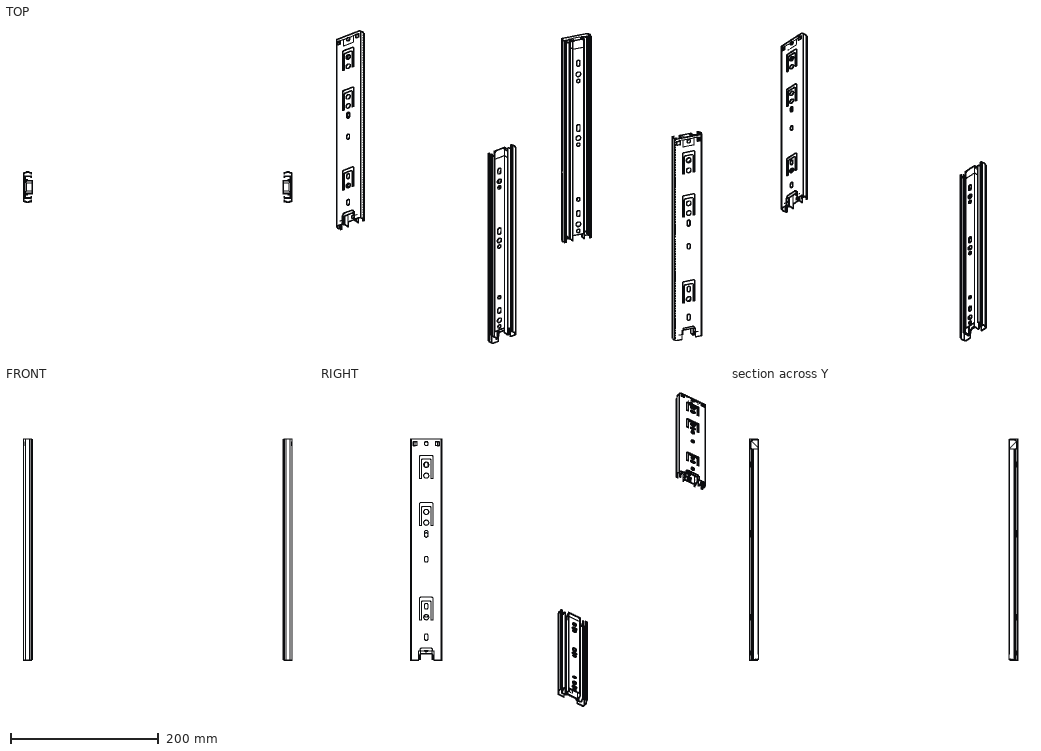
import cadquery as cq


PAIR_WIDTH = 364.0
RAIL_LENGTH = 300.0
OUTER_X = -PAIR_WIDTH / 2
SHEET = 1.0

OUTER_DEPTH = 11.0
OUTER_HALF = 20.0
RACE_HALF = 21.0
RACE_START = 3.0
RACE_END = 8.5
OUTER_LIP_END = 17.5
OUTER_BEND = 2.0

WEB_GAP = 0.55
MIDDLE_X = OUTER_X + SHEET + WEB_GAP
MIDDLE_DEPTH = OUTER_DEPTH - SHEET - WEB_GAP
MIDDLE_HALF = 15.3
MIDDLE_LIP_END = 13.0
MIDDLE_BEND = 1.5
MIDDLE_BOTTOM = 7.0
MIDDLE_TOP = 296.5

SLIDE_DEPTH = 12.5
INNER_X = OUTER_X + SLIDE_DEPTH
INNER_DEPTH = 8.0
INNER_HALF = 9.0
INNER_LIP_HALF = 10.5
INNER_CHANNEL_HALF = INNER_HALF - SHEET
INNER_BOTTOM = 1.0
INNER_TOP = RAIL_LENGTH - INNER_BOTTOM

OUTER_NOTCH_HALF = 10.2
OUTER_NOTCH_TOP = 12.7
OUTER_RELIEF_HALF = 8.7
OUTER_RELIEF_TOP = 16.5
RELIEF_CORNER = 2.5
MIDDLE_NOTCH_HALF = INNER_CHANNEL_HALF
MIDDLE_NOTCH_TOP = OUTER_NOTCH_TOP
INNER_NOTCH_TOP = 8.7

STOP_HEIGHT = 12.7
STOP_BACK = MIDDLE_X
STOP_BOTTOM = INNER_TOP - STOP_HEIGHT
STOP_CHAMFER = 2.5

SCREW_HOLE = 7.0
PILOT_HOLE = 5.0
SLOT_WIDTH = 4.5
WINDOW_Z = 293.5
WINDOW_HEIGHT = 5.0
WINDOW_INNER = 12.7
WINDOW_OUTER = 18.0
TONGUE_TOPS = (277.7, 213.5, 85.5)
TONGUE_SLOT_LENGTH = 31.3
TONGUE_SLOT_HALF = 9.0
TONGUE_HALF = 6.5
TONGUE_GAP = 5.0
TONGUE_CORNER = 2.0
OUTER_SCREW_Z = (265.0, 250.0, 201.0, 186.5, 58.2)
OUTER_SLOTS = ((171.5, 9.0), (137.0, 8.0), (73.0, 8.0), (31.3, 9.0))

MIDDLE_SCREW_Z = (OUTER_SCREW_Z[0], OUTER_SCREW_Z[-1])
MIDDLE_SLOT = OUTER_SLOTS[0]
INNER_SCREW_Z = (247.5, 152.5, 24.0)
INNER_PILOT_Z = (237.7, 142.7, 61.0, 14.2)
INNER_SLOTS = ((264.0, 9.0), (167.5, 10.2), (40.0, 8.7))


def extrude_section(half_section, length):
    """Extrude a section given for +Y together with its mirror image, as one sheet."""
    half = half_section.close().extrude(length)
    return half.union(half.mirror("XZ"))


def web_sketch(web_x):
    """Plane parallel to the webs, set half a sheet before the web's lower X face."""
    return cq.Workplane("YZ", origin=(web_x - SHEET / 2, 0, 0))


def web_box(web_x, y_low, y_high, z_low, z_high):
    """Rectangular cutter that goes through one web."""
    plane = web_sketch(web_x).center((y_low + y_high) / 2, (z_low + z_high) / 2)
    return plane.rect(y_high - y_low, z_high - z_low).extrude(2 * SHEET)


def web_holes(web_x, diameter, heights):
    """Round cutters on the centre line of a web."""
    points = [(0, z) for z in heights]
    return web_sketch(web_x).pushPoints(points).circle(diameter / 2).extrude(2 * SHEET)


def web_slot(web_x, width, centre_z, length):
    """Vertical round-ended cutter on the centre line of a web."""
    return web_sketch(web_x).center(0, centre_z).slot2D(length, width, 90).extrude(2 * SHEET)


def tongue_slot(top):
    """U-shaped cutter that leaves a tongue in the outer web."""
    bottom = top - TONGUE_SLOT_LENGTH
    frame = web_box(OUTER_X, -TONGUE_SLOT_HALF, TONGUE_SLOT_HALF, bottom, top)
    tongue = web_box(OUTER_X, -TONGUE_HALF, TONGUE_HALF, bottom, top - TONGUE_GAP)
    frame = frame.edges("|X and >Z").fillet(TONGUE_CORNER)
    tongue = tongue.edges("|X and >Z").fillet(TONGUE_CORNER)
    return frame.cut(tongue)


def outer_channel():
    """C channel with a ball race bulging out of each flange and a lip at its open side."""
    front = OUTER_X + OUTER_DEPTH
    race_start = OUTER_X + RACE_START
    race_end = OUTER_X + RACE_END
    race_middle = (race_start + race_end) / 2
    flange_inside = OUTER_HALF - SHEET
    half_section = (
        cq.Workplane("XY")
        .moveTo(OUTER_X, 0)
        .lineTo(OUTER_X, OUTER_HALF - OUTER_BEND)
        .radiusArc((OUTER_X + OUTER_BEND, OUTER_HALF), OUTER_BEND)
        .lineTo(race_start, OUTER_HALF)
        .threePointArc((race_middle, RACE_HALF), (race_end, OUTER_HALF))
        .lineTo(front, OUTER_HALF)
        .lineTo(front, OUTER_LIP_END)
        .lineTo(front - SHEET, OUTER_LIP_END)
        .lineTo(front - SHEET, flange_inside)
        .lineTo(race_end, flange_inside)
        .threePointArc((race_middle, RACE_HALF - SHEET), (race_start, flange_inside))
        .lineTo(OUTER_X + OUTER_BEND, flange_inside)
        .radiusArc((OUTER_X + SHEET, OUTER_HALF - OUTER_BEND), SHEET - OUTER_BEND)
        .lineTo(OUTER_X + SHEET, 0)
    )
    return extrude_section(half_section, RAIL_LENGTH)


def outer_notch():
    """Notch at the lower end of the outer web, with a narrower round-cornered relief on top."""
    notch = web_box(OUTER_X, -OUTER_NOTCH_HALF, OUTER_NOTCH_HALF, 0, OUTER_NOTCH_TOP)
    relief = web_box(OUTER_X, -OUTER_RELIEF_HALF, OUTER_RELIEF_HALF, 0, OUTER_RELIEF_TOP)
    return notch.union(relief.edges("|X and >Z").fillet(RELIEF_CORNER))


def make_outer_rail():
    rail = outer_channel().cut(outer_notch())
    window_low = WINDOW_Z - WINDOW_HEIGHT / 2
    window = web_box(OUTER_X, WINDOW_INNER, WINDOW_OUTER, window_low, window_low + WINDOW_HEIGHT)
    rail = rail.cut(window).cut(window.mirror("XZ"))
    rail = rail.cut(web_holes(OUTER_X, PILOT_HOLE, [WINDOW_Z]))
    rail = rail.cut(web_holes(OUTER_X, SCREW_HOLE, OUTER_SCREW_Z))
    for top in TONGUE_TOPS:
        rail = rail.cut(tongue_slot(top))
    for centre_z, length in OUTER_SLOTS:
        rail = rail.cut(web_slot(OUTER_X, SLOT_WIDTH, centre_z, length))
    return rail


def make_middle_rail():
    """C channel nested in the outer rail, with a web notch at each end and lips turned inward."""
    front = MIDDLE_X + MIDDLE_DEPTH
    flange_inside = MIDDLE_HALF - SHEET
    half_section = (
        cq.Workplane("XY", origin=(0, 0, MIDDLE_BOTTOM))
        .moveTo(MIDDLE_X, 0)
        .lineTo(MIDDLE_X, MIDDLE_HALF - MIDDLE_BEND)
        .radiusArc((MIDDLE_X + MIDDLE_BEND, MIDDLE_HALF), MIDDLE_BEND)
        .lineTo(front - MIDDLE_BEND, MIDDLE_HALF)
        .radiusArc((front, MIDDLE_HALF - MIDDLE_BEND), MIDDLE_BEND)
        .lineTo(front, MIDDLE_LIP_END)
        .lineTo(front - SHEET, MIDDLE_LIP_END)
        .lineTo(front - SHEET, MIDDLE_HALF - MIDDLE_BEND)
        .radiusArc((front - MIDDLE_BEND, flange_inside), SHEET - MIDDLE_BEND)
        .lineTo(MIDDLE_X + MIDDLE_BEND, flange_inside)
        .radiusArc((MIDDLE_X + SHEET, MIDDLE_HALF - MIDDLE_BEND), SHEET - MIDDLE_BEND)
        .lineTo(MIDDLE_X + SHEET, 0)
    )
    rail = extrude_section(half_section, MIDDLE_TOP - MIDDLE_BOTTOM)
    half = MIDDLE_NOTCH_HALF
    rail = rail.cut(web_box(MIDDLE_X, -half, half, 0, MIDDLE_NOTCH_TOP))
    rail = rail.cut(web_box(MIDDLE_X, -half, half, STOP_BOTTOM, MIDDLE_TOP))
    rail = rail.cut(web_holes(MIDDLE_X, SCREW_HOLE, MIDDLE_SCREW_Z))
    return rail.cut(web_slot(MIDDLE_X, SLOT_WIDTH, *MIDDLE_SLOT))


def make_inner_rail():
    """Narrow channel that opens toward the outer web, with lips turned outward."""
    back = INNER_X - INNER_DEPTH
    web_x = INNER_X - SHEET
    half_section = (
        cq.Workplane("XY", origin=(0, 0, INNER_BOTTOM))
        .moveTo(INNER_X, 0)
        .lineTo(INNER_X, INNER_HALF)
        .lineTo(back + SHEET, INNER_HALF)
        .lineTo(back + SHEET, INNER_LIP_HALF)
        .lineTo(back, INNER_LIP_HALF)
        .lineTo(back, INNER_CHANNEL_HALF)
        .lineTo(web_x, INNER_CHANNEL_HALF)
        .lineTo(web_x, 0)
    )
    rail = extrude_section(half_section, INNER_TOP - INNER_BOTTOM)
    half = INNER_CHANNEL_HALF
    rail = rail.cut(web_box(web_x, -half, half, 0, INNER_NOTCH_TOP))
    rail = rail.cut(web_holes(web_x, SCREW_HOLE, INNER_SCREW_Z))
    rail = rail.cut(web_holes(web_x, PILOT_HOLE, INNER_PILOT_Z))
    for centre_z, length in INNER_SLOTS:
        rail = rail.cut(web_slot(web_x, PILOT_HOLE, centre_z, length))
    return rail


def make_stop_block():
    """Block in the inner channel and middle web notch, chamfered on its three free top edges."""
    depth = INNER_X - SHEET - STOP_BACK
    block = cq.Workplane("XY", origin=(STOP_BACK, 0, STOP_BOTTOM)).box(
        depth, 2 * INNER_CHANNEL_HALF, STOP_HEIGHT, centered=(False, True, False)
    )
    return block.faces(">Z").edges("|X or <X").chamfer(STOP_CHAMFER)


solids = []
for body in (make_outer_rail(), make_middle_rail(), make_inner_rail(), make_stop_block()):
    solids.append(body.val())
    solids.append(body.mirror("YZ").val())

result = cq.Compound.makeCompound(solids)